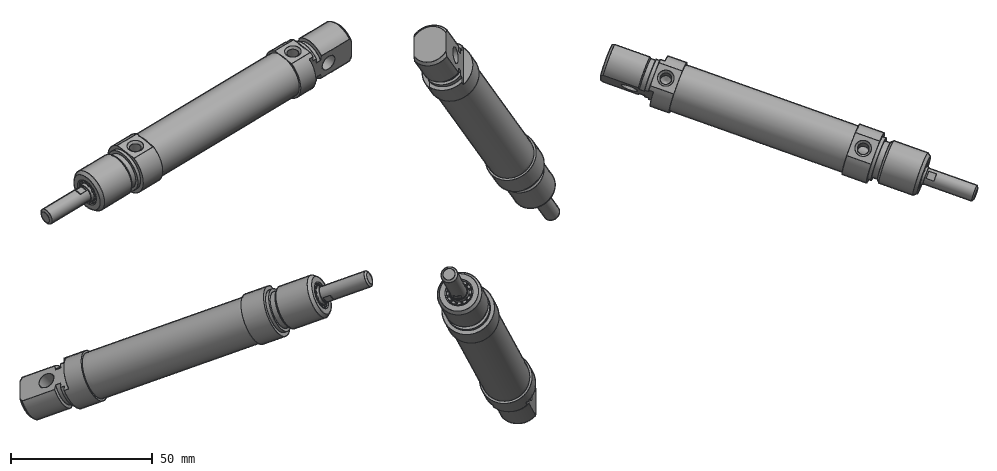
import cadquery as cq
import math


length = 139.0
nose_y = 19.6
front_cap_y = 37.8
front_joint_y = 47.0
rear_joint_y = 112.0
rear_cap_y = 120.9

cap_diameter = 18.9
cap_flat_height = 8.3
thread_diameter = 16.0
groove_diameter = 13.8

nose_chamfer_length = 1.3
nose_chamfer_depth = 1.0
front_shoulder_length = 1.3
front_groove_length = 2.1
runout_chamfer = 0.8

recess_mouth_diameter = 10.0
recess_diameter = 9.0
recess_taper_length = 0.3
recess_depth = 2.1
lip_base_diameter = 7.1
lip_diameter = 6.5
lip_height = 0.8
rib_count = 12
rib_width = 1.4
rib_setback = 0.3

barrel_diameter = 17.4
barrel_end_diameter = 17.2
front_taper_length = 1.3
rear_taper_length = 1.7

clevis_width = 12.0
clevis_cut_length = 19.9
clevis_chamfer = 1.0
clevis_hole_diameter = 6.0
clevis_hole_setback = 10.8
rear_shoulder_length = 1.5
rear_groove_length = 2.4
rear_runout_length = 0.4

port_diameter = 5.8
port_bore_diameter = 4.2
port_chamfer = (port_diameter - port_bore_diameter) / 2
front_port_y = (front_cap_y + front_joint_y) / 2
rear_port_y = rear_joint_y + 4.6
rear_port_depth = 5.0
drill_half_angle = math.radians(59)

rod_diameter = 6.0
rod_chamfer_length = 0.5
rod_chamfer_depth = 0.8
flats_height = 5.3
flats_length = 2.9
flats_y = 15.3


def turned(points):
    """Revolve a closed (radius, y) outline around the Y axis."""
    return cq.Workplane("XY").polyline(points).close().revolve(360, (0, 0, 0), (0, 1, 0))


def disc(diameter, start_y, end_y):
    """Cylinder on the Y axis from start_y to end_y."""
    radius = diameter / 2
    return turned([(0, start_y), (radius, start_y), (radius, end_y), (0, end_y)])


def top_flat_cut(start_y, end_y):
    """Block that trims a cap to its top flat."""
    block = cq.Workplane("XY").box(cap_diameter, end_y - start_y, cap_diameter, centered=(True, False, False))
    return block.translate((0, start_y, cap_flat_height))


def port_cut(y, floor_z, tip_length):
    """Chamfered port drilled down from the top flat, with an optional conical end."""
    bore = port_bore_diameter / 2
    outline = [
        (0, floor_z - tip_length),
        (bore, floor_z),
        (bore, cap_flat_height - port_chamfer),
        (port_diameter / 2, cap_flat_height),
        (0, cap_flat_height),
    ]
    profile = cq.Workplane("XZ", origin=(0, y, 0)).polyline(outline).close()
    return profile.revolve(360, (0, 0, 0), (0, 1, 0))


def wiper_recess_cut():
    """Annular recess around the wiper lip, leaving radial ribs standing in it."""
    floor_y = nose_y + recess_depth
    recess = turned([
        (lip_base_diameter / 2, nose_y),
        (recess_mouth_diameter / 2, nose_y),
        (recess_diameter / 2, nose_y + recess_taper_length),
        (recess_diameter / 2, floor_y),
        (lip_base_diameter / 2, floor_y),
    ])
    rib_top_y = nose_y + rib_setback
    rib = cq.Workplane("XY").box(
        recess_mouth_diameter / 2, floor_y - rib_top_y, rib_width, centered=(False, False, True)
    ).translate((0, rib_top_y, 0))
    for index in range(rib_count):
        recess = recess.cut(rib.rotate((0, 0, 0), (0, 1, 0), index * 360 / rib_count))
    return recess


def make_front_cap():
    cap_radius = cap_diameter / 2
    thread_radius = thread_diameter / 2
    groove_radius = groove_diameter / 2
    groove_end_y = front_cap_y - front_shoulder_length
    groove_start_y = groove_end_y - front_groove_length
    cap = turned([
        (0, nose_y - lip_height),
        (lip_diameter / 2, nose_y - lip_height),
        (lip_base_diameter / 2, nose_y),
        (thread_radius - nose_chamfer_depth, nose_y),
        (thread_radius, nose_y + nose_chamfer_length),
        (thread_radius, groove_start_y - runout_chamfer),
        (thread_radius - runout_chamfer, groove_start_y),
        (groove_radius, groove_start_y),
        (groove_radius, groove_end_y),
        (thread_radius, groove_end_y),
        (thread_radius, front_cap_y),
        (cap_radius, front_cap_y),
        (cap_radius, front_joint_y),
        (0, front_joint_y),
    ])
    cap = cap.cut(top_flat_cut(front_cap_y, front_joint_y))
    cap = cap.cut(wiper_recess_cut())
    cap = cap.cut(disc(rod_diameter, nose_y - lip_height, front_joint_y))
    return cap.cut(port_cut(front_port_y, 0, 0))


def make_barrel():
    radius = barrel_diameter / 2
    end_radius = barrel_end_diameter / 2
    return turned([
        (0, front_joint_y),
        (end_radius, front_joint_y),
        (radius, front_joint_y + front_taper_length),
        (radius, rear_joint_y - rear_taper_length),
        (end_radius, rear_joint_y),
        (0, rear_joint_y),
    ])


def make_rear_cap():
    cap_radius = cap_diameter / 2
    thread_radius = thread_diameter / 2
    groove_radius = groove_diameter / 2
    groove_start_y = rear_cap_y + rear_shoulder_length
    groove_end_y = groove_start_y + rear_groove_length
    cap = turned([
        (0, rear_joint_y),
        (cap_radius, rear_joint_y),
        (cap_radius, rear_cap_y),
        (thread_radius, rear_cap_y),
        (thread_radius, groove_start_y),
        (groove_radius, groove_start_y),
        (groove_radius, groove_end_y - rear_runout_length),
        (thread_radius, groove_end_y),
        (thread_radius, length - clevis_chamfer),
        (thread_radius - clevis_chamfer, length),
        (0, length),
    ])
    cap = cap.cut(top_flat_cut(rear_joint_y, rear_cap_y))
    side_block = cq.Workplane("XY").box(
        cap_diameter, clevis_cut_length, cap_diameter, centered=(False, False, True)
    ).translate((clevis_width / 2, length - clevis_cut_length, 0))
    cap = cap.cut(side_block).cut(side_block.mirror("YZ"))
    pivot_hole = (
        cq.Workplane("YZ", origin=(0, length - clevis_hole_setback, 0))
        .circle(clevis_hole_diameter / 2)
        .extrude(clevis_width, both=True)
    )
    cap = cap.cut(pivot_hole)
    tip_length = port_bore_diameter / 2 / math.tan(drill_half_angle)
    return cap.cut(port_cut(rear_port_y, cap_flat_height - rear_port_depth, tip_length))


def make_rod():
    radius = rod_diameter / 2
    rod = turned([
        (0, 0),
        (radius - rod_chamfer_depth, 0),
        (radius, rod_chamfer_length),
        (radius, front_joint_y),
        (0, front_joint_y),
    ])
    flat_block = cq.Workplane("XY").box(
        rod_diameter, flats_length, rod_diameter, centered=(True, False, False)
    ).translate((0, flats_y, flats_height / 2))
    return rod.cut(flat_block).cut(flat_block.mirror("XY"))


front_cap = make_front_cap()
barrel = make_barrel()
rear_cap = make_rear_cap()
rod = make_rod()

result = cq.Compound.makeCompound([front_cap.val(), barrel.val(), rear_cap.val(), rod.val()])